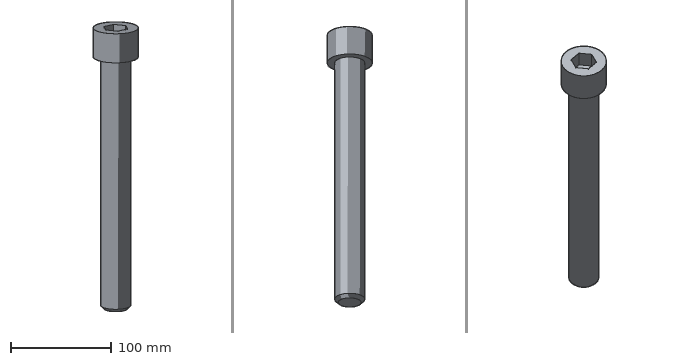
import cadquery as cq
import math

thread_diameter = 30.0
thread_pitch = 3.5
shank_length = 260.0
thread_length = 72.0
plain_length = shank_length - thread_length
tip_chamfer = thread_pitch

head_diameter = 45.0
head_height = thread_diameter

hexagon_sides = 6
socket_across_flats = 22.0
socket_across_corners = socket_across_flats / math.cos(math.pi / hexagon_sides)
socket_depth = 15.5


def make_head():
    """Plain cylindrical head."""
    return cq.Workplane("XY").circle(head_diameter / 2).extrude(head_height)


def make_plain_shank():
    """Unthreaded length below the head."""
    return cq.Workplane("XY").circle(thread_diameter / 2).extrude(-plain_length)


def make_threaded_end():
    """Thread modelled as its outer cylinder, with a chamfered tip."""
    end = (
        cq.Workplane("XY")
        .workplane(offset=-plain_length)
        .circle(thread_diameter / 2)
        .extrude(-thread_length)
    )
    return end.faces("<Z").chamfer(tip_chamfer)


def make_hex_socket():
    """Hexagonal socket with two corners in the XZ plane."""
    return (
        cq.Workplane("XY")
        .workplane(offset=head_height)
        .polygon(hexagon_sides, socket_across_corners)
        .extrude(-socket_depth)
    )


screw = make_head().union(make_plain_shank()).union(make_threaded_end())
result = screw.cut(make_hex_socket())